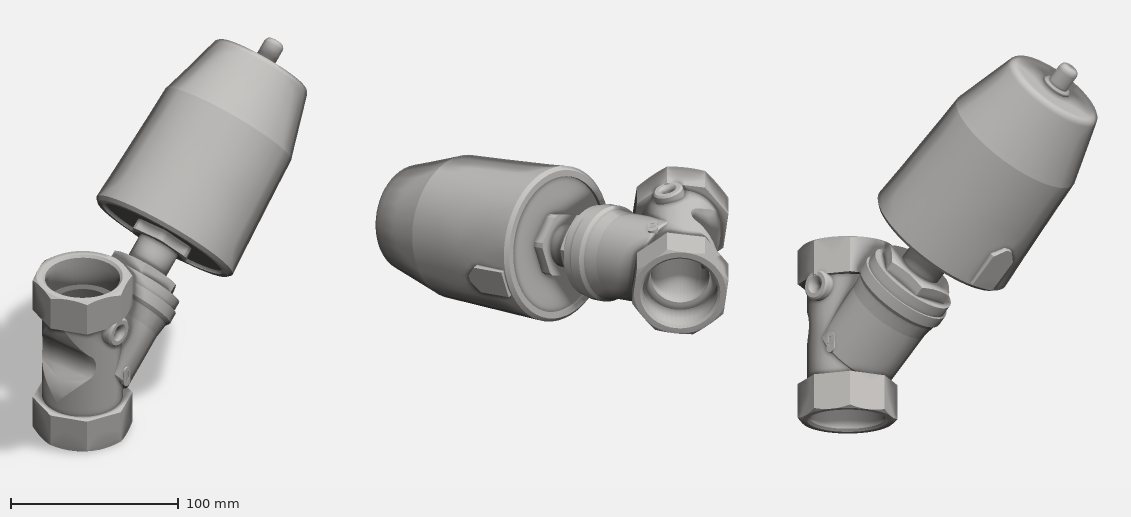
import cadquery as cq
import math


BODY_HEIGHT = 106.5
TUBE_RADIUS = 24.2
BORE_DIAMETER = 35.0

END_HEIGHT = 22.5
END_CORNER_RADIUS = 29.8
END_FLAT_RADIUS = END_CORNER_RADIUS * math.cos(math.pi / 8)
END_CHAMFER = 1.5
SOCKET_DIAMETER = 44.9
SOCKET_DEPTH = 20.5
SOCKET_CHAMFER = 1.5

WAIST_TOP = 35.2
WAIST_TOP_SPAN = 30.6
WAIST_BOTTOM = -24.2
WAIST_BOTTOM_SPAN = 25.7
HOLLOW_TOP = 10.1
HOLLOW_MIDDLE = 3.2
HOLLOW_BOTTOM = -4.0
HOLLOW_Y = -12.3
WAIST_POINTS = 6
RIDGE_RADIUS = 15.0
RIDGE_WALL = 3.2

BOSS_HEIGHT_Z = 25.0
BOSS_DIAMETER = 18.1
BOSS_FACE_X = 29.0
BOSS_CHAMFER = 1.0
DIMPLE_RADIUS = 5.5
DIMPLE_DEPTH = 4.3

PAD_Y = 10.0
PAD_Z = -11.9
PAD_LENGTH = 13.0
PAD_WIDTH = 6.0
PAD_FACE_X = 26.5
ARROW_LENGTH = 7.0
ARROW_HEAD_LENGTH = 2.5
ARROW_HEAD_WIDTH = 4.3
ARROW_SHAFT_WIDTH = 2.5
ARROW_DEPTH = 0.5

TILT = 40.0
AXIS_Z = -19.5

BRANCH_BASE = 7.8
BRANCH_TAPER = 43.8
COLLAR_CONE = 52.6
COLLAR_BASE = 55.0
FLANGE_BASE = 61.7
FLANGE_TOP = 68.6
BONNET_TOP = 76.2
STEM_NUT_BASE = 92.5
ACTUATOR_BASE = 97.0
SEAM_BASE = 176.3
SEAM_TOP = 179.0
CAP_TOP = 218.4
WASHER_TOP = 220.5
ROD_TOP = 234.3

BRANCH_RADIUS = 26.0
BRANCH_CHAMFER = 1.0
COLLAR_CONE_RADIUS = 27.2
COLLAR_RADIUS = 29.0
FLANGE_RADIUS = 27.5
BONNET_APOTHEM = 20.7
BONNET_CHAMFER = 1.3
STEM_DIAMETER = 26.0
STEM_NUT_APOTHEM = 18.1
STEM_NUT_CORNER_APOTHEM = 20.0

ACTUATOR_RADIUS = 46.8
SEAM_BASE_RADIUS = 43.2
SEAM_TOP_RADIUS = 42.3
CAP_RADIUS = 31.0
CAP_FILLET = 4.7
RIM_CHAMFER = 2.2
RECESS_DIAMETER = 81.8
RECESS_DEPTH = 2.2

WASHER_DIAMETER = 18.1
WASHER_CHAMFER = 0.9
ROD_RADIUS = 6.3
ROD_FILLET = 3.5

LUG_BASE = 100.3
LUG_TOP = 129.0
LUG_FACE = 48.3
LUG_WIDTH = 17.3
LUG_CHAMFER = 6.5


def cylinder(radius, low, high):
    return cq.Workplane("XY").workplane(offset=low).circle(radius).extrude(high - low)


def revolved(profile):
    """Solid of revolution about Z from (radius, height) points."""
    return cq.Workplane("XZ").polyline(profile).close().revolve(360, (0, 0, 0), (0, 1, 0))


def hexagon(apothem, low, high):
    """Hexagonal prism with corners on the X axis."""
    corner_diameter = 2 * apothem / math.cos(math.pi / 6)
    return cq.Workplane("XY").workplane(offset=low).polygon(6, corner_diameter).extrude(high - low)


def waist_flank(start, end, tip, span):
    """Points from height start to end on an ellipse that reaches the tube surface at height tip."""
    heights = [start + (end - start) * i / WAIST_POINTS for i in range(WAIST_POINTS + 1)]
    return [(-TUBE_RADIUS * math.sqrt(1 - ((z - tip) / span) ** 2), z) for z in heights]


def waist_notch():
    """Cutter for the notch across the -Y side, kept between the octagonal ends."""
    ends_gap_top = BODY_HEIGHT / 2 - END_HEIGHT
    upper = waist_flank(ends_gap_top, HOLLOW_TOP, WAIST_TOP, WAIST_TOP_SPAN)
    lower = waist_flank(HOLLOW_BOTTOM, WAIST_BOTTOM, WAIST_BOTTOM, WAIST_BOTTOM_SPAN)
    outside_y = -2 * TUBE_RADIUS
    return (
        cq.Workplane("YZ", origin=(-TUBE_RADIUS, 0, 0))
        .moveTo(outside_y, ends_gap_top)
        .lineTo(*upper[0])
        .spline(upper[1:], includeCurrent=True)
        .threePointArc((HOLLOW_Y, HOLLOW_MIDDLE), lower[0])
        .spline(lower[1:], includeCurrent=True)
        .lineTo(outside_y, WAIST_BOTTOM)
        .close()
        .extrude(2 * TUBE_RADIUS)
    )


def bore():
    """Cutter for the through bore, with a rounded ridge left inside it behind the waist."""
    ridge = (
        cq.Workplane("YZ", origin=(-BORE_DIAMETER, 0, 0))
        .center(HOLLOW_Y + RIDGE_WALL - RIDGE_RADIUS, HOLLOW_MIDDLE)
        .circle(RIDGE_RADIUS)
        .extrude(2 * BORE_DIAMETER)
    )
    return cylinder(BORE_DIAMETER / 2, -BODY_HEIGHT / 2, BODY_HEIGHT / 2).cut(ridge)


def corner_trim(flat_radius, corner_radius, drop, low, top):
    """Body whose conical top just meets the flats of a prism and drops at its corners."""
    overrun = corner_radius - flat_radius
    outer_radius = corner_radius + overrun
    return revolved([
        (0, low),
        (outer_radius, low),
        (outer_radius, top - 2 * drop),
        (flat_radius, top),
        (0, top),
    ])


def octagon_end():
    """Upper octagonal end with its outer corners trimmed."""
    top = BODY_HEIGHT / 2
    low = top - END_HEIGHT
    prism = cq.Workplane("XY").workplane(offset=low).polygon(8, 2 * END_CORNER_RADIUS).extrude(END_HEIGHT)
    return prism.intersect(corner_trim(END_FLAT_RADIUS, END_CORNER_RADIUS, END_CHAMFER, low, top))


def end_socket():
    """Cutter for the chamfered socket in the upper end."""
    top = BODY_HEIGHT / 2
    radius = SOCKET_DIAMETER / 2
    return revolved([
        (0, top - SOCKET_DEPTH),
        (radius, top - SOCKET_DEPTH),
        (radius, top - SOCKET_CHAMFER),
        (radius + SOCKET_CHAMFER, top),
        (0, top),
    ])


def side_boss():
    return (
        cq.Workplane("YZ")
        .center(0, BOSS_HEIGHT_Z)
        .circle(BOSS_DIAMETER / 2)
        .extrude(BOSS_FACE_X)
        .faces(">X")
        .chamfer(BOSS_CHAMFER)
    )


def boss_dimple():
    """Cutter for the conical dimple in the +X boss."""
    cone = cq.Solid.makeCone(
        DIMPLE_RADIUS, 0, DIMPLE_DEPTH, cq.Vector(BOSS_FACE_X, 0, BOSS_HEIGHT_Z), cq.Vector(-1, 0, 0)
    )
    return cq.Workplane(cone)


def flow_pad():
    """Raised +X pad with a sunken arrow pointing down."""
    pad = cq.Workplane("YZ").center(PAD_Y, PAD_Z).slot2D(PAD_LENGTH, PAD_WIDTH, 90).extrude(PAD_FACE_X)
    tip = -ARROW_LENGTH / 2
    shoulder = tip + ARROW_HEAD_LENGTH
    arrow = (
        cq.Workplane("YZ", origin=(PAD_FACE_X - ARROW_DEPTH, PAD_Y, PAD_Z))
        .moveTo(0, tip)
        .lineTo(ARROW_HEAD_WIDTH / 2, shoulder)
        .lineTo(ARROW_SHAFT_WIDTH / 2, shoulder)
        .lineTo(ARROW_SHAFT_WIDTH / 2, -tip)
        .lineTo(-ARROW_SHAFT_WIDTH / 2, -tip)
        .lineTo(-ARROW_SHAFT_WIDTH / 2, shoulder)
        .lineTo(-ARROW_HEAD_WIDTH / 2, shoulder)
        .close()
        .extrude(ARROW_DEPTH)
    )
    return pad.cut(arrow)


def branch():
    """Branch, collar, flange and bonnet hexagon, built along Z."""
    neck = revolved([
        (0, BRANCH_BASE),
        (BRANCH_RADIUS - BRANCH_CHAMFER, BRANCH_BASE),
        (BRANCH_RADIUS, BRANCH_BASE + BRANCH_CHAMFER),
        (BRANCH_RADIUS, BRANCH_TAPER),
        (COLLAR_CONE_RADIUS, COLLAR_CONE),
        (COLLAR_RADIUS, COLLAR_BASE),
        (COLLAR_RADIUS, FLANGE_BASE),
        (FLANGE_RADIUS, FLANGE_BASE),
        (FLANGE_RADIUS, FLANGE_TOP),
        (0, FLANGE_TOP),
    ])
    bonnet_corner = BONNET_APOTHEM / math.cos(math.pi / 6)
    trim = corner_trim(BONNET_APOTHEM, bonnet_corner, BONNET_CHAMFER, FLANGE_TOP, BONNET_TOP)
    bonnet = hexagon(BONNET_APOTHEM, FLANGE_TOP, BONNET_TOP).intersect(trim)
    return neck.union(bonnet)


def actuator():
    """Actuator housing with its stem, nut, rod and air lug, built along Z."""
    recess_top = ACTUATOR_BASE + RECESS_DEPTH
    housing = revolved([
        (0, ACTUATOR_BASE),
        (ACTUATOR_RADIUS - RIM_CHAMFER, ACTUATOR_BASE),
        (ACTUATOR_RADIUS, ACTUATOR_BASE + RIM_CHAMFER),
        (SEAM_BASE_RADIUS, SEAM_BASE),
        (SEAM_TOP_RADIUS, SEAM_TOP),
        (CAP_RADIUS, CAP_TOP),
        (0, CAP_TOP),
    ])
    housing = housing.faces(">Z").edges().fillet(CAP_FILLET)
    housing = housing.cut(cylinder(RECESS_DIAMETER / 2, ACTUATOR_BASE, recess_top))
    lug_root = RECESS_DIAMETER / 2
    lug = (
        cq.Workplane("XY", origin=(0, lug_root, LUG_BASE))
        .box(LUG_WIDTH, LUG_FACE - lug_root, LUG_TOP - LUG_BASE, centered=(True, False, False))
        .edges(">Z and |Y")
        .chamfer(LUG_CHAMFER)
    )
    nut = hexagon(STEM_NUT_APOTHEM, STEM_NUT_BASE, recess_top)
    corner_facets = hexagon(STEM_NUT_CORNER_APOTHEM, STEM_NUT_BASE, recess_top)
    nut = nut.intersect(corner_facets.rotate((0, 0, 0), (0, 0, 1), 30))
    stem = cylinder(STEM_DIAMETER / 2, FLANGE_TOP, recess_top)
    washer = cylinder(WASHER_DIAMETER / 2, CAP_TOP, WASHER_TOP).faces(">Z").chamfer(WASHER_CHAMFER)
    rod = cylinder(ROD_RADIUS, CAP_TOP, ROD_TOP).faces(">Z").edges().fillet(ROD_FILLET)
    return housing.union(lug).union(nut).union(stem).union(washer).union(rod)


def tilted(upright):
    """Place a solid built along Z onto the tilted axis; its +Y side turns to the underside."""
    angle = math.radians(TILT)
    plane = cq.Plane(origin=(0, 0, AXIS_Z), xDir=(1, 0, 0), normal=(0, math.cos(angle), math.sin(angle)))
    return upright.val().located(cq.Location(plane))


result = cylinder(TUBE_RADIUS, -BODY_HEIGHT / 2, BODY_HEIGHT / 2)
for addition, mirror_plane in ((octagon_end(), "XY"), (side_boss(), "YZ")):
    result = result.union(addition).union(addition.mirror(mirror_plane))
result = result.union(tilted(branch().union(actuator())))
result = result.union(flow_pad()).union(flow_pad().mirror("YZ"))
result = result.cut(waist_notch()).cut(bore())
for cutter, mirror_plane in ((end_socket(), "XY"), (boss_dimple(), "YZ")):
    result = result.cut(cutter).cut(cutter.mirror(mirror_plane))